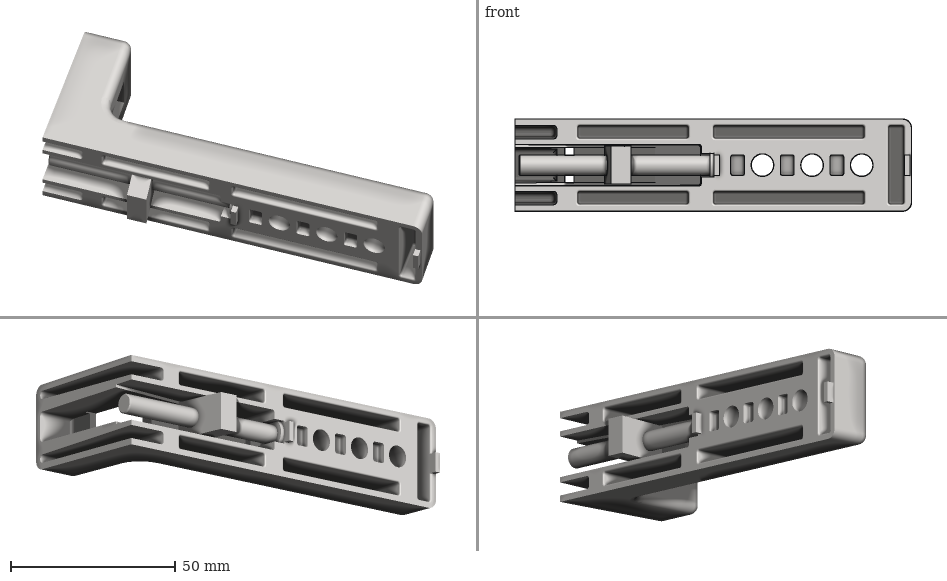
import cadquery as cq
import math

LENGTH = 120.8
HALF_HEIGHT = 14.08
ARM_DEPTH = 15.1
LEG_REACH = 45.2
LEG_TIP_WIDTH = 15.1
INNER_CORNER_RADIUS = 5.9
EDGE_RADIUS = 2.9
DRAFT = 1.0
WALL = 1.9

POCKET_FLOOR = ARM_DEPTH - WALL
SIDE_POCKET_Z = 10.0
SIDE_POCKET_WIDTH = 5.1
SIDE_POCKET_SPANS = [(18.6, 53.5), (59.9, 107.1)]
END_POCKET_SPAN = (113.2, 119.1)
END_POCKET_WIDTH = 25.1
MOUTH_RADIUS = 0.5
POCKET_RADIUS = 0.7

LEG_SLOT_Z = 10.0
LEG_SLOT_WIDTH = 4.1
LEG_SLOT_END = 12.8
LEG_OPENING_RADIUS = 1.1
LEG_CAVITY_END = 13.4
LEG_CAVITY_WIDTH = 11.0
LEG_CAVITY_DEPTH = 43.3
WINDOW_END_X = 18.0
WINDOW_TOP_Y = 35.0
WINDOW_WIDTH = 10.6

SLIDER_POCKET_END = 56.8
SLIDER_POCKET_WIDTH = 12.7
SLIDER_POCKET_RADIUS = 0.8
RAMP_START_Y = 7.3
RAMP_ANGLE = 6.3
SLOT_FLOOR_Y = 12.0

HOLE_RADIUS = 3.4
FIRST_HOLE_X = 75.4
HOLE_PITCH = 15.1
HOLE_COUNT = 3
RECESS_LENGTH = 4.2
RECESS_HEIGHT = 6.3
RECESS_DEPTH = 2.7
RECESS_RADIUS = 0.7

TAB_HEIGHT = 6.2
TAB_THICKNESS = 1.7
TAB_REACH = 2.4

ROD_RADIUS = 3.08
ROD_AXIS_Y = 5.0
ROD_START = 1.2
ROD_END = 59.5
ROD_CHAMFER = 0.4
WASHER_RADIUS = 4.8
WASHER_THICKNESS = 1.2
WASHER_END = ROD_END + WASHER_THICKNESS
ROD_SLOT_WIDTH = 7.1
ROD_SLOT_DEPTH = 11.2

SLIDER_TIP_Y = -7.6
SLIDER_TIP_X = 29.2
SLIDER_LENGTH = 6.2
SLIDER_HEIGHT = 11.6

DRAFT_SLOPE = math.tan(math.radians(DRAFT))
RAMP_SLOPE = math.tan(math.radians(RAMP_ANGLE))
OVERCUT = 2.4


def box(x_span, y_span, height):
    """Block centred on Z = 0 between two X and two Y positions."""
    x0, x1 = x_span
    y0, y1 = y_span
    return cq.Workplane("XY").box(x1 - x0, y1 - y0, height).translate(((x0 + x1) / 2, (y0 + y1) / 2, 0))


def ramp_depth(x):
    """Y of the ramp floor at a position along X."""
    return RAMP_START_Y + x * RAMP_SLOPE


def drafted_pocket(x_span, z_centre, width, depth, corner_radius=0.0, floor_radius=0.0):
    """Cutter going from the front face toward +Y and narrowing by the mould draft."""
    x0, x1 = x_span
    front_plane = cq.Plane(origin=((x0 + x1) / 2, 0, z_centre), xDir=(1, 0, 0), normal=(0, 1, 0))
    pocket = cq.Workplane(front_plane).rect(x1 - x0, width).extrude(depth, taper=DRAFT)
    if corner_radius:
        pocket = pocket.edges("not(#Y)").fillet(corner_radius)
    if floor_radius:
        pocket = pocket.faces(">Y").edges().fillet(floor_radius)
    return pocket


def rod_cylinder(radius, x_start, x_end):
    """Cylinder on the rod axis."""
    circle = cq.Workplane("YZ", origin=(x_start, ROD_AXIS_Y, 0)).circle(radius)
    return circle.extrude(x_end - x_start)


def is_outer_edge(edge):
    """True for the convex edges of the L that are off the X = 0 and Y = 0 faces."""
    bounds = edge.BoundingBox()
    tolerance = 0.01
    on_flat_face = bounds.xmax < tolerance or bounds.ymax < tolerance
    runs_along_z = bounds.zmin < 0 < bounds.zmax
    centre = edge.Center()
    at_arm_end = centre.x > LENGTH / 2
    at_leg_end = centre.y > LEG_REACH - tolerance
    return not on_flat_face and (not runs_along_z or at_arm_end or at_leg_end)


def make_shell():
    """Solid drafted L with rounded outer edges."""
    leg_foot_width = LEG_TIP_WIDTH + (LEG_REACH - ARM_DEPTH) * DRAFT_SLOPE
    profile = [
        (0, 0),
        (LENGTH, 0),
        (LENGTH - ARM_DEPTH * DRAFT_SLOPE, ARM_DEPTH),
        (leg_foot_width, ARM_DEPTH),
        (LEG_TIP_WIDTH, LEG_REACH),
        (0, LEG_REACH),
    ]
    shell = cq.Workplane("XY").polyline(profile).close().extrude(HALF_HEIGHT, both=True)
    corner = cq.selectors.NearestToPointSelector((leg_foot_width, ARM_DEPTH, 0))
    shell = shell.edges("|Z").edges(corner).fillet(INNER_CORNER_RADIUS)

    tip_half_height = HALF_HEIGHT - LEG_REACH * DRAFT_SLOPE
    section = [
        (0, -HALF_HEIGHT),
        (LEG_REACH, -tip_half_height),
        (LEG_REACH, tip_half_height),
        (0, HALF_HEIGHT),
    ]
    shell = shell.intersect(cq.Workplane("YZ").polyline(section).close().extrude(LENGTH))
    outer_edges = [edge for edge in shell.edges().vals() if is_outer_edge(edge)]
    return shell.newObject(outer_edges).fillet(EDGE_RADIUS)


def cut_rimmed_pocket(body, x_span, z_centre, width):
    """Deep pocket whose rim on the front face is rounded; the sizes include the rim."""
    x0, x1 = x_span
    inner_span = (x0 + MOUTH_RADIUS, x1 - MOUTH_RADIUS)
    inner_width = width - 2 * MOUTH_RADIUS
    pocket = drafted_pocket(inner_span, z_centre, inner_width, POCKET_FLOOR, POCKET_RADIUS, POCKET_RADIUS)
    body = body.cut(pocket)
    half_width = width / 2
    rim = cq.selectors.BoxSelector(
        (x0, -MOUTH_RADIUS, z_centre - half_width),
        (x1, MOUTH_RADIUS, z_centre + half_width),
        boundingbox=True,
    )
    return body.edges(rim).fillet(MOUTH_RADIUS)


def cut_front_pockets(body):
    """End pocket and the pockets along both long edges."""
    body = cut_rimmed_pocket(body, END_POCKET_SPAN, 0, END_POCKET_WIDTH)
    for side in (-1, 1):
        for span in SIDE_POCKET_SPANS:
            body = cut_rimmed_pocket(body, span, side * SIDE_POCKET_Z, SIDE_POCKET_WIDTH)
    return body


def cut_leg_slots(body):
    """Slots along the leg above and below its cavity."""
    for side in (-1, 1):
        body = body.cut(drafted_pocket((-OVERCUT, LEG_SLOT_END), side * LEG_SLOT_Z, LEG_SLOT_WIDTH,
                                       LEG_CAVITY_DEPTH, LEG_OPENING_RADIUS, LEG_OPENING_RADIUS))
    return body


def make_slider_pocket():
    """Cutter for the pocket whose floor is the ramp."""
    ramp_profile = [
        (0, 0),
        (SLIDER_POCKET_END, 0),
        (SLIDER_POCKET_END, ramp_depth(SLIDER_POCKET_END)),
        (0, ramp_depth(0)),
    ]
    ramp = cq.Workplane("XY").polyline(ramp_profile).close().extrude(SLIDER_POCKET_WIDTH / 2, both=True)
    pocket = drafted_pocket((-OVERCUT, SLIDER_POCKET_END), 0, SLIDER_POCKET_WIDTH, ARM_DEPTH,
                            SLIDER_POCKET_RADIUS)
    return pocket.intersect(ramp)


def cut_slider_opening(body):
    """Leg cavity, corner window, ramp pocket and the slot that ends where the ramp gets deeper."""
    leg_cavity = drafted_pocket((-OVERCUT, LEG_CAVITY_END), 0, LEG_CAVITY_WIDTH, LEG_CAVITY_DEPTH)
    leg_cavity = leg_cavity.faces(">Y").edges().fillet(LEG_OPENING_RADIUS)
    window = box((LEG_CAVITY_END - OVERCUT, WINDOW_END_X), (0, WINDOW_TOP_Y), WINDOW_WIDTH)
    slot_end_x = (SLOT_FLOOR_Y - RAMP_START_Y) / RAMP_SLOPE
    slot = box((LEG_CAVITY_END - OVERCUT, slot_end_x), (0, SLOT_FLOOR_Y), WINDOW_WIDTH)
    return body.cut(leg_cavity).cut(window).cut(slot).cut(make_slider_pocket())


def cut_rod_seat(body):
    """Open slot for the rod end and the round recess that holds the washer."""
    slot = box((SLIDER_POCKET_END - OVERCUT, WASHER_END), (0, ROD_SLOT_DEPTH), ROD_SLOT_WIDTH)
    return body.cut(slot).cut(rod_cylinder(WASHER_RADIUS, ROD_END, WASHER_END))


def cut_hole_row(body):
    """Round through holes, each with a small recess half a pitch before it."""
    for index in range(HOLE_COUNT):
        hole_x = FIRST_HOLE_X + index * HOLE_PITCH
        hole = cq.Workplane("XZ", origin=(hole_x, 0, 0)).circle(HOLE_RADIUS).extrude(-ARM_DEPTH)
        recess_x = hole_x - HOLE_PITCH / 2
        recess_span = (recess_x - RECESS_LENGTH / 2, recess_x + RECESS_LENGTH / 2)
        recess = drafted_pocket(recess_span, 0, RECESS_HEIGHT, RECESS_DEPTH, RECESS_RADIUS, RECESS_RADIUS)
        body = body.cut(hole).cut(recess)
    return body


def add_tabs(body):
    """Two locating tabs on the front face: one past the washer, one flush with the end pocket wall."""
    pocket_wall_x = END_POCKET_SPAN[1] - MOUTH_RADIUS
    for tab_x in (WASHER_END, pocket_wall_x):
        body = body.union(box((tab_x, tab_x + TAB_THICKNESS), (-TAB_REACH, MOUTH_RADIUS), TAB_HEIGHT))
    return body


def make_housing():
    body = make_shell()
    body = cut_front_pockets(body)
    body = cut_leg_slots(body)
    body = cut_slider_opening(body)
    body = cut_rod_seat(body)
    body = cut_hole_row(body)
    return add_tabs(body)


def make_rod():
    """Plain rod with a chamfered free end."""
    return rod_cylinder(ROD_RADIUS, ROD_START, ROD_END).faces("<X").chamfer(ROD_CHAMFER)


def make_washer():
    """Disc against the end of the rod."""
    return rod_cylinder(WASHER_RADIUS, ROD_END, WASHER_END)


def ramp_foot(tip_x):
    """Point of the ramp square below a point on the slider tip."""
    foot_x = (tip_x - (RAMP_START_Y - SLIDER_TIP_Y) * RAMP_SLOPE) / (1 + RAMP_SLOPE**2)
    return foot_x, ramp_depth(foot_x)


def make_slider():
    """Block between the ramp and its flat tip, with the rod hole through it."""
    tip_end_x = SLIDER_TIP_X + SLIDER_LENGTH
    profile = [
        (SLIDER_TIP_X, SLIDER_TIP_Y),
        (tip_end_x, SLIDER_TIP_Y),
        ramp_foot(tip_end_x),
        ramp_foot(SLIDER_TIP_X),
    ]
    block = cq.Workplane("XY").polyline(profile).close().extrude(SLIDER_HEIGHT / 2, both=True)
    return block.cut(rod_cylinder(ROD_RADIUS, ROD_START, ROD_END))


housing = make_housing()
rod = make_rod()
washer = make_washer()
slider = make_slider()

result = cq.Compound.makeCompound([housing.val(), rod.val(), washer.val(), slider.val()])